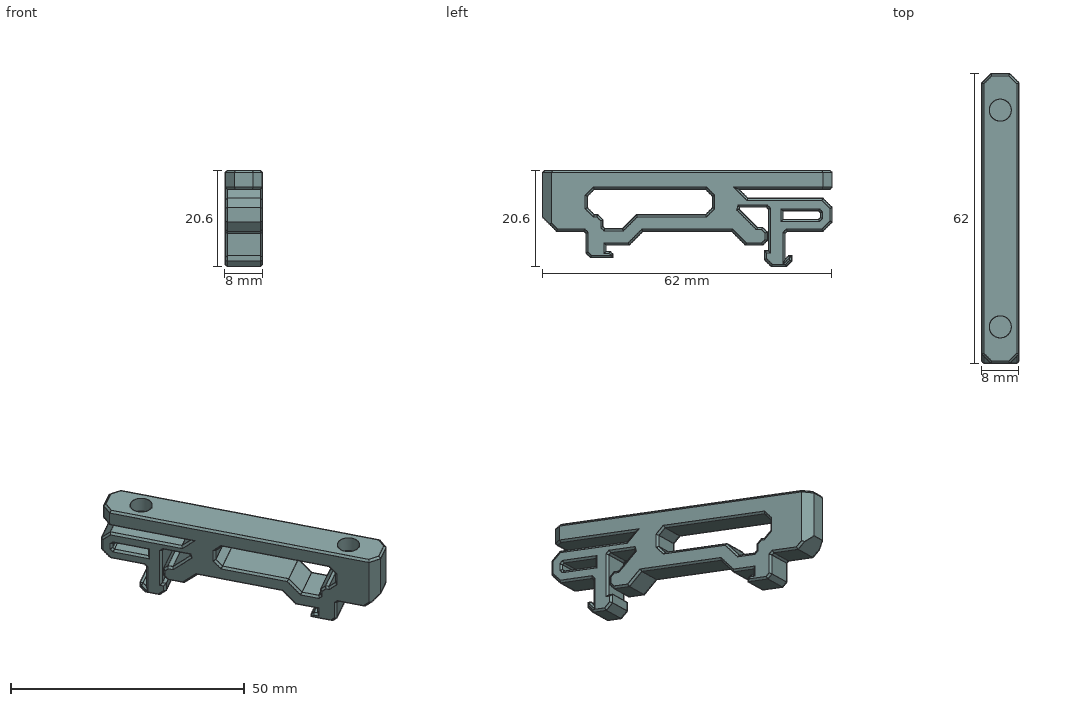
import cadquery as cq

length = 62.0
width = 8.0
height = 20.6
edge_chamfer = 0.465
end_corner = 2.0

bar_under = -4.0
lip_top = -5.95
web_top = -9.5
web_under = -13.0
foot_top = -16.0
base = -height

heel_bevel = 3.05
foot_start = 9.3
foot_tip = 15.05
foot_base = -18.65
foot_bevel = 1.0
foot_lip_top = -17.3
foot_lip_tip = 0.75
notch_start = 13.65
inner_bevel = 0.45

ramp_rise = web_under - foot_top
foot_ramp = 18.55
nose_ramp = 40.5
nose_end = 48.1
nose_top = -12.2
nose_bevel = 1.0
nose_flat = 46.0

leg_start = 48.35
leg_end = 51.95
barb_start = 47.5
barb_top = -17.2
barb_bevel = 1.5
hook_end = 53.4
hook_top = -18.2
hook_tip = 0.7
hook_bevel = 1.2
loop_bevel = 2.0
arm_under = -7.9
arm_root = 41.35
slit_root = 42.05

window_start = 9.6
window_end = 36.4
window_bevel = 1.5
ledge_end = 11.85
ledge_bevel = 1.1
well_floor = -12.45
well_floor_end = 17.1

slot_start = 51.5
slot_end = 59.45
slot_top = -8.7
slot_floor = -10.5
slot_bevel = 0.4

hole_diameter = 4.7
hole_depth = 3.5
hole_inset = 7.8

tolerance = 0.005

profile_plane = cq.Plane(origin=(width / 2, length / 2, 0), xDir=(0, -1, 0), normal=(-1, 0, 0))


def prism(points):
    """Extrude a closed side profile across the full width."""
    return cq.Workplane(profile_plane).polyline(points).close().extrude(width)


def foot_outline():
    """Underside from the heel round the fixed foot and up to the web."""
    lip_bevel_drop = foot_lip_top - foot_base - foot_lip_tip
    return [
        (0, web_under + heel_bevel),
        (heel_bevel, web_under),
        (foot_start - inner_bevel, web_under),
        (foot_start, web_under - inner_bevel),
        (foot_start, foot_base + foot_bevel),
        (foot_start + foot_bevel, foot_base),
        (foot_tip, foot_base),
        (foot_tip, foot_base + foot_lip_tip),
        (foot_tip - lip_bevel_drop, foot_lip_top),
        (notch_start, foot_lip_top),
        (notch_start, foot_top),
        (foot_ramp, foot_top),
        (foot_ramp + ramp_rise, web_under),
    ]


def nose_outline():
    """Nose that dips below the web, and the notch between it and the flexible leg."""
    return [
        (nose_ramp, web_under),
        (nose_ramp + ramp_rise, foot_top),
        (nose_end - nose_bevel, foot_top),
        (nose_end, foot_top + nose_bevel),
        (nose_end, nose_top - nose_bevel),
        (nose_end - nose_bevel, nose_top),
        (nose_flat, nose_top),
        (nose_flat - (arm_under - inner_bevel - nose_top), arm_under - inner_bevel),
        (arm_root + 2 * inner_bevel, arm_under),
        (leg_start - inner_bevel, arm_under),
        (leg_start, arm_under - inner_bevel),
    ]


def leg_outline():
    """Flexible leg with a barb on one side, a hook on the other, and the loop above it."""
    hook_slope = hook_end - hook_tip - leg_end
    return [
        (leg_start, barb_top),
        (barb_start, barb_top),
        (barb_start, base + barb_bevel),
        (barb_start + barb_bevel, base),
        (hook_end - hook_bevel, base),
        (hook_end, base + hook_bevel),
        (hook_end, hook_top),
        (hook_end - hook_tip, hook_top),
        (leg_end, hook_top - hook_slope),
        (leg_end, web_under - inner_bevel),
        (leg_end + inner_bevel, web_under),
        (length - loop_bevel, web_under),
        (length, web_under + loop_bevel),
        (length, lip_top - loop_bevel),
        (length - loop_bevel, lip_top),
        (slit_root + bar_under - lip_top, lip_top),
        (slit_root, bar_under),
        (length, bar_under),
        (length, 0),
    ]


def window():
    """Long window between the bar and the web, with a stepped well over the foot."""
    step = ledge_end + ledge_bevel
    return prism([
        (window_start, bar_under - window_bevel),
        (window_start + window_bevel, bar_under),
        (window_end - window_bevel, bar_under),
        (window_end, bar_under - window_bevel),
        (window_end, web_top + window_bevel),
        (window_end - window_bevel, web_top),
        (well_floor_end + web_top - well_floor, web_top),
        (well_floor_end, well_floor),
        (step + inner_bevel, well_floor),
        (step, well_floor + inner_bevel),
        (step, web_top - ledge_bevel),
        (ledge_end, web_top),
        (window_start + window_bevel, web_top),
        (window_start, web_top + window_bevel),
    ])


def slot():
    """Slot through the finger loop, bevelled at its outer end."""
    return prism([
        (slot_start, slot_top),
        (slot_end - slot_bevel, slot_top),
        (slot_end, slot_top - slot_bevel),
        (slot_end, slot_floor + slot_bevel),
        (slot_end - slot_bevel, slot_floor),
        (slot_start, slot_floor),
    ])


def in_bar(edge):
    """Whether an edge lies on the bar or the heel below it, rather than on the finger loop."""
    return edge.Center().z > bar_under or edge.Center().y > 0


def is_corner_line(edge):
    """Whether an edge is an upright line where a corner cut meets a side face."""
    inset = length / 2 - abs(edge.Center().y)
    upright = abs(edge.tangentAt(0).z) > 0.6 - tolerance
    return upright and abs(inset - end_corner) < tolerance and in_bar(edge)


def cut_corners(solid):
    """Cut back the upright corners at both ends of the bar, down the full heel at the +Y end."""
    corners = solid.faces("<Y or >Y").edges("|Z").vals()
    return solid.newObject([edge for edge in corners if in_bar(edge)]).chamfer(end_corner)


def bevel_rims(solid):
    """Bevel both side faces, the ends of the top face and the underside of the free bar end."""
    side_edges = solid.faces("<X or >X").edges().vals()
    rims = [edge for edge in side_edges if not is_corner_line(edge)]
    rims += solid.faces(">Z").edges("not |Y").vals()
    free_end_underside = cq.selectors.BoxSelector(
        (-width, -length / 2 - tolerance, bar_under - tolerance),
        (width, -length / 2 + end_corner - tolerance, bar_under + tolerance),
    )
    rims += solid.edges(free_end_underside).vals()
    return solid.newObject(rims).chamfer(edge_chamfer)


body = prism([(0, 0)] + foot_outline() + nose_outline() + leg_outline())
body = body.cut(window()).cut(slot())
body = bevel_rims(cut_corners(body))

hole_reach = length / 2 - hole_inset
holes = (
    cq.Workplane("XY")
    .pushPoints([(0, -hole_reach), (0, hole_reach)])
    .circle(hole_diameter / 2)
    .extrude(-hole_depth)
)
result = body.cut(holes)